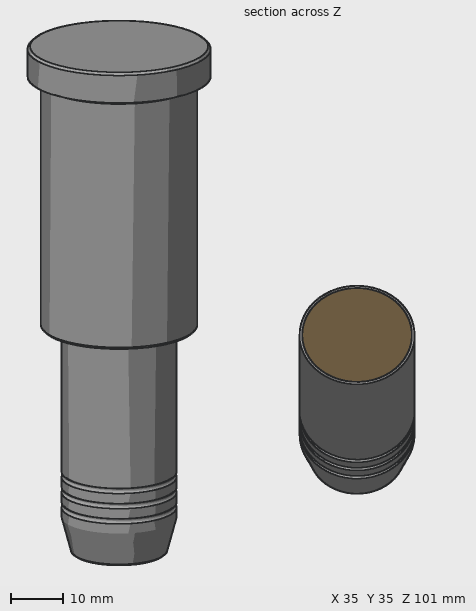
import cadquery as cq
import math

total_height = 101.0
head_height = 6.0
body_bottom = 44.9
head_bottom = total_height - head_height

head_diameter = 35.0
body_diameter = 30.0
pin_diameter = 22.0

head_chamfer = 0.5
body_chamfer = 0.5
tip_chamfer = 0.4

undercut_height = 1.0
undercut_depth = 0.5

head_groove_width = 1.0
pin_groove_width = 1.0
pin_groove_count = 3
pin_groove_pitch = 3.0
lowest_pin_groove_bottom = 9.0

taper_height = 7.1
taper_angle = 15.0


def cylinder(diameter, bottom, top):
    """Solid cylinder on the Z axis between two heights."""
    return cq.Workplane("XY").workplane(offset=bottom).circle(diameter / 2).extrude(top - bottom)


def revolved(points):
    """Solid of revolution about Z from a closed outline of (radius, height) points."""
    return cq.Workplane("XZ").polyline(points).close().revolve(360, (0, 0), (0, 1))


def round_groove(diameter, bottom, width):
    """Ring cutter leaving a half-round groove in a cylinder."""
    groove_radius = width / 2
    section = cq.Workplane("XZ").center(diameter / 2, bottom + groove_radius).circle(groove_radius)
    return section.revolve(360, (-diameter / 2, 0), (-diameter / 2, 1))


def tapered_tip():
    """Cone frustum leading into the pin, with its end edge chamfered."""
    pin_radius = pin_diameter / 2
    tip_radius = pin_radius - taper_height * math.tan(math.radians(taper_angle))
    cone = revolved([(0, 0), (tip_radius, 0), (pin_radius, taper_height), (0, taper_height)])
    return cone.faces("<Z").chamfer(tip_chamfer)


head = cylinder(head_diameter, head_bottom, total_height).faces(">Z").chamfer(head_chamfer)

body = cylinder(body_diameter, body_bottom, head_bottom).faces("<Z").chamfer(body_chamfer)
body = body.cut(round_groove(body_diameter, head_bottom - head_groove_width, head_groove_width))

undercut_bottom = body_bottom - undercut_height
pin = cylinder(pin_diameter, taper_height, undercut_bottom)
neck = cylinder(pin_diameter - 2 * undercut_depth, undercut_bottom, body_bottom)

for index in range(pin_groove_count):
    groove_bottom = lowest_pin_groove_bottom + index * pin_groove_pitch
    pin = pin.cut(round_groove(pin_diameter, groove_bottom, pin_groove_width))

result = head.union(body).union(neck).union(pin).union(tapered_tip())